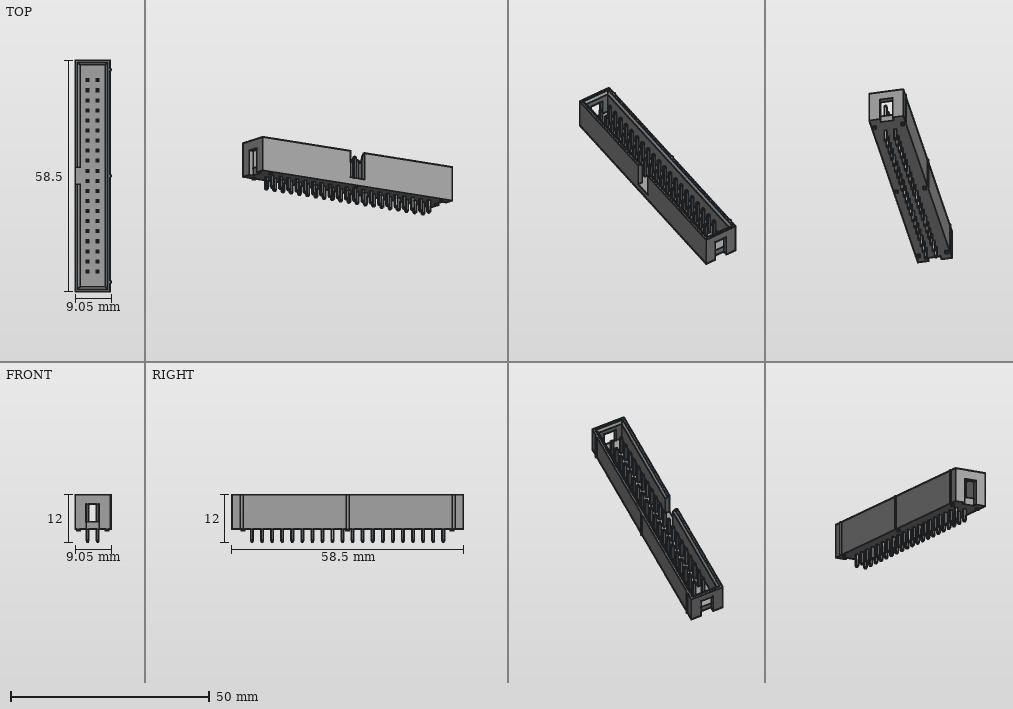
import cadquery as cq


length = 58.45
overall_width = 9.05
overall_height = 12.0
rib_projection = 0.25
width = overall_width - rib_projection
height = 8.7
wall = 1.2
floor_thickness = 1.85
rim_width = 0.6
lead_in_depth = 0.7

key_width = 4.4
end_slot_width = 3.35
end_slot_top = 6.3

round_diameter = 0.9
rib_y = 26.8
foot_x = 3.6
foot_y = 26.35
foot_height = 0.4

pins_per_row = 20
row_span = 48.3
pitch = row_span / (pins_per_row - 1)
pin_size = 0.65
pin_tip_size = 0.25
pin_tip_length = 0.4
pin_bottom = height - overall_height
pin_top = 8.25

body_center_x = -rib_projection / 2
wall_face_x = body_center_x + width / 2
cavity_width = width - 2 * wall
cavity_length = length - 2 * wall


def box(size_x, size_y, bottom, top):
    """Box centred on the housing axis, between two heights."""
    base = cq.Workplane("XY").workplane(offset=bottom).center(body_center_x, 0)
    return base.rect(size_x, size_y).extrude(top - bottom)


def make_housing():
    """Open-topped tray with a sloping lead-in around the rim."""
    cavity = box(cavity_width, cavity_length, floor_thickness, height)
    lead_in = (
        cq.Workplane("XY", origin=(body_center_x, 0, height - lead_in_depth))
        .rect(cavity_width, cavity_length)
        .workplane(offset=lead_in_depth)
        .rect(width - 2 * rim_width, length - 2 * rim_width)
        .loft(ruled=True)
    )
    return box(width, length, 0, height).cut(cavity).cut(lead_in)


def make_key_notch():
    """Polarising notch through the middle of the -X wall, down to the floor."""
    return box(wall, key_width, floor_thickness, height).translate(((wall - width) / 2, 0, 0))


def make_end_slot(side):
    """Slot through one end wall, open at the bottom."""
    slot = box(end_slot_width, wall, 0, end_slot_top)
    return slot.translate((0, side * (length - wall) / 2, 0))


def make_ribs():
    """Full-height rounded ribs standing out of the +X wall."""
    axis_x = wall_face_x + rib_projection - round_diameter / 2
    positions = [(axis_x, y) for y in (-rib_y, 0, rib_y)]
    ribs = cq.Workplane("XY").pushPoints(positions).circle(round_diameter / 2).extrude(height)
    rib_zone = cq.Workplane("XY").box(rim_width, length, height, centered=(True, True, False))
    return ribs.intersect(rib_zone.translate((wall_face_x, 0, 0)))


def make_feet():
    """Round standoff feet along both long edges."""
    positions = [
        (body_center_x + side * foot_x, y)
        for side in (-1, 1)
        for y in (-foot_y, 0, foot_y)
    ]
    return cq.Workplane("XY").pushPoints(positions).circle(round_diameter / 2).extrude(-foot_height)


def make_pin():
    """Square pin with both ends tapered."""
    shaft_bottom = pin_bottom + pin_tip_length
    shaft_top = pin_top - pin_tip_length
    shaft = cq.Workplane("XY", origin=(0, 0, shaft_bottom)).rect(pin_size, pin_size)
    pin = shaft.extrude(shaft_top - shaft_bottom)
    for shoulder, tip_offset in ((shaft_bottom, -pin_tip_length), (shaft_top, pin_tip_length)):
        tip = (
            cq.Workplane("XY", origin=(0, 0, shoulder))
            .rect(pin_size, pin_size)
            .workplane(offset=tip_offset)
            .rect(pin_tip_size, pin_tip_size)
            .loft(ruled=True)
        )
        pin = pin.union(tip)
    return pin


result = make_housing().cut(make_key_notch())
for side in (-1, 1):
    result = result.cut(make_end_slot(side))
result = result.union(make_ribs()).union(make_feet())

pin = make_pin()
for row in (-0.5, 0.5):
    for index in range(pins_per_row):
        pin_x = body_center_x + row * pitch
        pin_y = (index - (pins_per_row - 1) / 2) * pitch
        result = result.union(pin.translate((pin_x, pin_y, 0)))